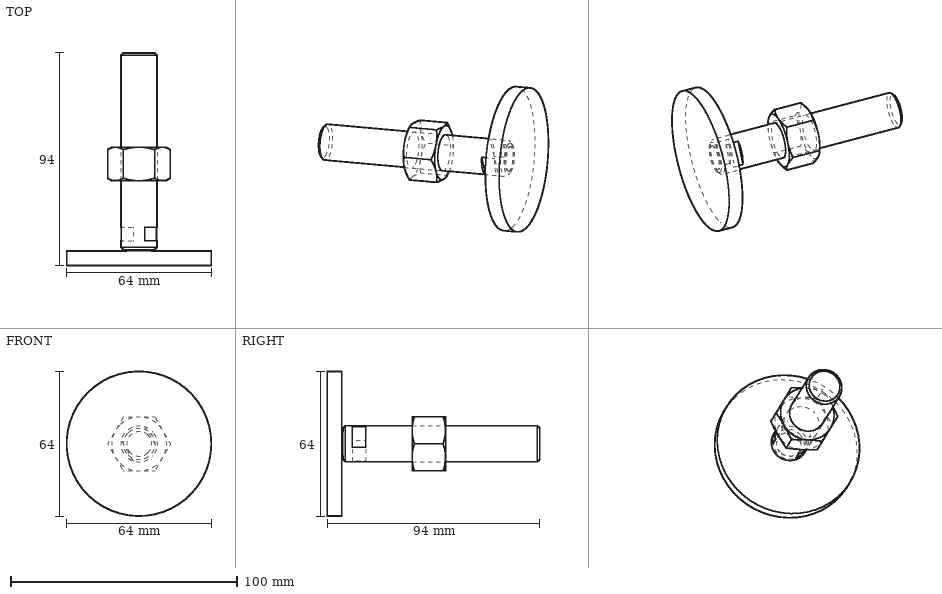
import cadquery as cq
import math

total_length = 94.0

plate_diameter = 64.0
plate_thickness = 6.5

spindle_diameter = 16.0
thread_core_diameter = 13.835
spindle_chamfer = (spindle_diameter - thread_core_diameter) / 2
neck_diameter = 11.0
neck_length = 0.5
shank_start = plate_thickness + neck_length
shank_length = total_length - shank_start

flats_across = 12.0
flats_start = 11.0
flats_length = 6.0
flats_angle = 30.0

nut_across_flats = 24.0
nut_across_corners = nut_across_flats / math.cos(math.radians(30))
nut_height = 14.8
nut_start = 37.5
nut_chamfer_angle = 30.0


def disc(diameter, start, length):
    """Cylinder on the Y axis that runs from y = start to y = start + length."""
    return cq.Workplane("XZ", origin=(0, start, 0)).circle(diameter / 2).extrude(-length)


def make_plate():
    return disc(plate_diameter, 0, plate_thickness)


def wrench_flat_cutters():
    """Two blocks that leave a pair of parallel flats, turned about the Y axis."""
    block_size = spindle_diameter
    block_offset = (flats_across + block_size) / 2
    blocks = (
        cq.Workplane("XZ", origin=(0, flats_start, 0))
        .pushPoints([(-block_offset, 0), (block_offset, 0)])
        .rect(block_size, block_size)
        .extrude(-flats_length)
    )
    return blocks.rotate((0, 0, 0), (0, 1, 0), -flats_angle)


def make_spindle():
    shank = disc(spindle_diameter, shank_start, shank_length)
    shank = shank.faces("<Y or >Y").chamfer(spindle_chamfer)
    neck = disc(neck_diameter, plate_thickness, neck_length)
    return shank.cut(wrench_flat_cutters()).union(neck)


def nut_chamfer_envelope():
    """Turned shape that trims the nut corners with a cone at each end."""
    face_radius = nut_across_flats / 2
    corner_radius = nut_across_corners / 2
    cone_height = (corner_radius - face_radius) * math.tan(math.radians(nut_chamfer_angle))
    nut_end = nut_start + nut_height
    profile = [
        (0, nut_start),
        (face_radius, nut_start),
        (corner_radius, nut_start + cone_height),
        (corner_radius, nut_end - cone_height),
        (face_radius, nut_end),
        (0, nut_end),
    ]
    return cq.Workplane("XY").polyline(profile).close().revolve(360, (0, 0, 0), (0, 1, 0))


def make_nut():
    blank = (
        cq.Workplane("XZ", origin=(0, nut_start, 0))
        .polygon(6, nut_across_corners)
        .extrude(-nut_height)
    )
    bore = disc(spindle_diameter, nut_start, nut_height)
    return blank.intersect(nut_chamfer_envelope()).cut(bore)


plate = make_plate()
spindle = make_spindle()
nut = make_nut()

result = cq.Compound.makeCompound([plate.val(), spindle.val(), nut.val()])